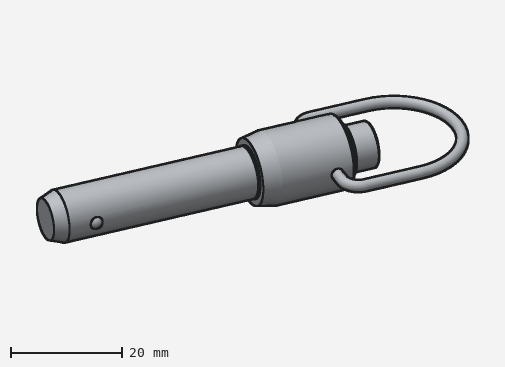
import cadquery as cq
import math

shank_radius = 4.9
tip_radius = 3.9
tip_length = 2.6

ball_radius = 1.3
ball_y = 7.9
ball_reach = 5.6

shoulder_radius = 5.0
shoulder_y = 39.5
body_radius = 6.98
body_bottom_radius = 6.3
body_bottom_y = 39.9
body_taper_y = 43.45
body_top_y = 57.7
body_chamfer = 0.4

collar_radius = 5.1
collar_top_y = 58.9
collar_chamfer = 0.2
button_radius = 4.37
button_top_y = 63.6
button_chamfer = 0.25

ring_top_y = 81.7
ring_width = 26.95
wire_radius = 1.15
leg_bottom_y = 57.25
corner_radius = 3.1


def make_pin():
    """Shank, body, collar and button turned about the Y axis."""
    profile = [
        (0, 0),
        (tip_radius, 0),
        (shank_radius, tip_length),
        (shank_radius, shoulder_y),
        (shoulder_radius, shoulder_y),
        (shoulder_radius, body_bottom_y),
        (body_bottom_radius, body_bottom_y),
        (body_radius, body_taper_y),
        (body_radius, body_top_y - body_chamfer),
        (body_radius - body_chamfer, body_top_y),
        (collar_radius, body_top_y),
        (collar_radius, collar_top_y - collar_chamfer),
        (collar_radius - collar_chamfer, collar_top_y),
        (button_radius, collar_top_y),
        (button_radius, button_top_y - button_chamfer),
        (button_radius - button_chamfer, button_top_y),
        (0, button_top_y),
    ]
    return cq.Workplane("XY").polyline(profile).close().revolve(360, (0, 0), (0, 1))


def make_ball(side):
    """Locking ball on the +X (side = 1) or -X (side = -1) flank of the shank."""
    center_x = side * (ball_reach - ball_radius)
    return cq.Workplane("XY").sphere(ball_radius).translate((center_x, ball_y, 0))


def make_ring():
    """Wire bent into a bow whose two feet run inward into the body."""
    bow_radius = ring_width / 2 - wire_radius
    bow_center_y = ring_top_y - ring_width / 2
    corner_x = bow_radius - corner_radius
    foot_y = leg_bottom_y - corner_radius
    foot_end_x = body_radius / 2
    bend_offset = corner_radius * math.sqrt(0.5)
    bend_x = corner_x + bend_offset
    bend_y = leg_bottom_y - bend_offset

    path = (
        cq.Workplane("XY")
        .moveTo(-foot_end_x, foot_y)
        .lineTo(-corner_x, foot_y)
        .threePointArc((-bend_x, bend_y), (-bow_radius, leg_bottom_y))
        .lineTo(-bow_radius, bow_center_y)
        .threePointArc((0, bow_center_y + bow_radius), (bow_radius, bow_center_y))
        .lineTo(bow_radius, leg_bottom_y)
        .threePointArc((bend_x, bend_y), (corner_x, foot_y))
        .lineTo(foot_end_x, foot_y)
    )
    wire_start = cq.Workplane("YZ", origin=(-foot_end_x, foot_y, 0))
    return wire_start.circle(wire_radius).sweep(path)


result = make_pin().union(make_ring())
for side in (-1, 1):
    result = result.union(make_ball(side))